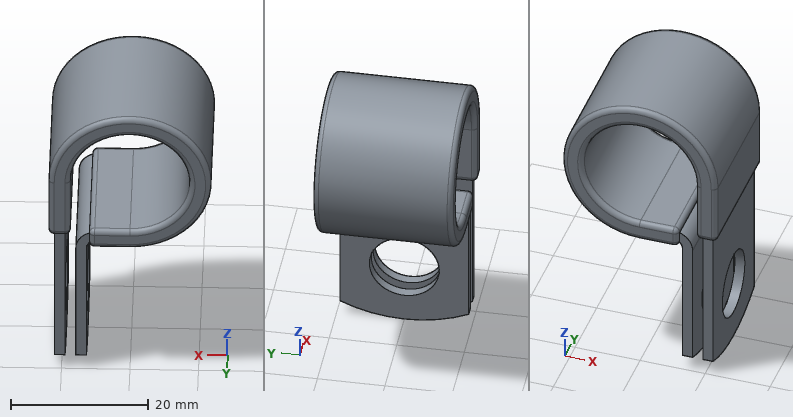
import cadquery as cq
import math

outer_radius = 11.83
cushion_width = 20.65
overall_height = 45.95
strap_thickness = 1.55
cover = strap_thickness / 2
cushion_thickness = strap_thickness + 2 * cover
strap_width = cushion_width - 2 * cover
middle_radius = outer_radius - cushion_thickness / 2

side_leg_drop = 9.6
foot_length = 5.95
tab_gap = 1.55
bend_outer_radius = 2.95
tab_bottom = outer_radius - overall_height
hole_diameter = 10.35
hole_height = -24.6
tip_sag = 2.1


def loop_band(thickness, width):
    """Loop with its two straight legs, centred on the middle radius."""
    outer = middle_radius + thickness / 2
    inner = middle_radius - thickness / 2
    diagonal = math.sqrt(0.5)
    return (
        cq.Workplane("XZ")
        .moveTo(outer, -side_leg_drop)
        .lineTo(outer, 0)
        .threePointArc((-outer * diagonal, outer * diagonal), (0, -outer))
        .lineTo(foot_length, -outer)
        .lineTo(foot_length, -inner)
        .lineTo(0, -inner)
        .threePointArc((-inner * diagonal, inner * diagonal), (inner, 0))
        .lineTo(inner, -side_leg_drop)
        .close()
        .extrude(width / 2, both=True)
    )


strap_outer = middle_radius + strap_thickness / 2
strap_inner = middle_radius - strap_thickness / 2
bent_tab_right = strap_inner - tab_gap
bent_tab_left = bent_tab_right - strap_thickness
bend_x = bent_tab_right - bend_outer_radius
bend_z = -strap_inner - bend_outer_radius
bend_inner_radius = bend_outer_radius - strap_thickness


def arc_point(radius):
    """Point halfway round the quarter bend at the given radius."""
    offset = radius * math.sqrt(0.5)
    return (bend_x + offset, bend_z + offset)


def bent_tab():
    """Strap leaving the foot, turning down into the tab."""
    return (
        cq.Workplane("XZ")
        .moveTo(0, -strap_inner)
        .lineTo(bend_x, -strap_inner)
        .threePointArc(arc_point(bend_outer_radius), (bent_tab_right, bend_z))
        .lineTo(bent_tab_right, tab_bottom)
        .lineTo(bent_tab_left, tab_bottom)
        .lineTo(bent_tab_left, bend_z)
        .threePointArc(arc_point(bend_inner_radius), (bend_x, -strap_outer))
        .lineTo(0, -strap_outer)
        .close()
        .extrude(strap_width / 2, both=True)
    )


def straight_tab():
    """Strap running straight down from the side leg."""
    return (
        cq.Workplane("XZ")
        .moveTo(strap_inner, 0)
        .lineTo(strap_outer, 0)
        .lineTo(strap_outer, tab_bottom)
        .lineTo(strap_inner, tab_bottom)
        .close()
        .extrude(strap_width / 2, both=True)
    )


def tab_outline():
    """Tab silhouette with an arched tip and the bolt hole, spanning both tabs."""
    half = strap_width / 2
    shoulder = tab_bottom + tip_sag
    outline = (
        cq.Workplane("YZ")
        .moveTo(-half, 0)
        .lineTo(-half, shoulder)
        .threePointArc((0, tab_bottom), (half, shoulder))
        .lineTo(half, 0)
        .close()
        .extrude(outer_radius)
    )
    bolt_hole = (
        cq.Workplane("YZ")
        .center(0, hole_height)
        .circle(hole_diameter / 2)
        .extrude(outer_radius)
    )
    return outline.cut(bolt_hole)


cushion = loop_band(cushion_thickness, cushion_width).edges().fillet(cover)
tabs = bent_tab().union(straight_tab()).intersect(tab_outline())
result = cushion.union(tabs)